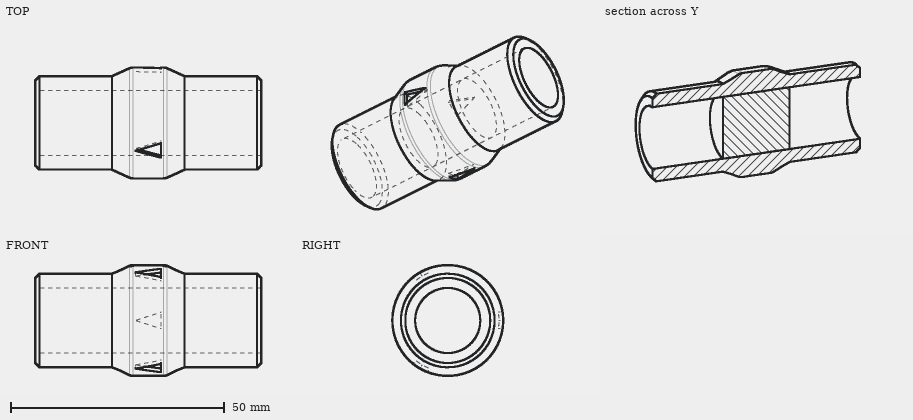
import cadquery as cq

LENGTH = 53.0
TUBE_RADIUS = 10.95
COLLAR_DIAMETER = 26.0
COLLAR_RADIUS = COLLAR_DIAMETER / 2
BORE_RADIUS = 7.65
END_CHAMFER = 1.0

COLLAR_CENTRE = LENGTH / 2
COLLAR_HALF_LENGTH = 8.55
SHOULDER_ROUND = 2.1

BAND_HALF_LENGTH = 4.05

ARROW_COUNT = 3
ARROW_LENGTH = 6.0
ARROW_WIDTH = 3.85
ARROW_DEPTH = 1.0
ARROW_TIP_X = 23.5
FIRST_ARROW_ANGLE = 30.0


def make_collar():
    """Solid collar with tapered flanks and rounded shoulders."""
    profile = [
        (COLLAR_CENTRE - COLLAR_HALF_LENGTH, 0),
        (COLLAR_CENTRE - COLLAR_HALF_LENGTH, TUBE_RADIUS),
        (COLLAR_CENTRE - BAND_HALF_LENGTH, COLLAR_RADIUS),
        (COLLAR_CENTRE + BAND_HALF_LENGTH, COLLAR_RADIUS),
        (COLLAR_CENTRE + COLLAR_HALF_LENGTH, TUBE_RADIUS),
        (COLLAR_CENTRE + COLLAR_HALF_LENGTH, 0),
    ]
    collar = cq.Workplane("XY").polyline(profile).close().revolve(360, (0, 0, 0), (1, 0, 0))
    shoulders = cq.selectors.RadiusNthSelector(-1)
    return collar.edges("%CIRCLE").edges(shoulders).fillet(SHOULDER_ROUND)


def make_arrow_cutter(angle):
    """Triangular prism that sinks one arrow, with a floor concentric to the collar."""
    base_x = ARROW_TIP_X + ARROW_LENGTH
    prism = (
        cq.Workplane("XY")
        .polyline([(ARROW_TIP_X, 0), (base_x, -ARROW_WIDTH / 2), (base_x, ARROW_WIDTH / 2)])
        .close()
        .extrude(2 * COLLAR_RADIUS)
    )
    floor = cq.Workplane("YZ").circle(COLLAR_RADIUS - ARROW_DEPTH).extrude(LENGTH)
    cutter = prism.cut(floor)
    return cutter.rotate((0, 0, 0), (1, 0, 0), angle)


def make_housing():
    """Tube with chamfered ends, a thick collar, a through bore and arrows."""
    tube = cq.Workplane("YZ").circle(TUBE_RADIUS).extrude(LENGTH)
    tube = tube.faces("<X or >X").edges().chamfer(END_CHAMFER)
    bore = cq.Workplane("YZ").circle(BORE_RADIUS).extrude(LENGTH)
    body = tube.union(make_collar()).cut(bore)
    for index in range(ARROW_COUNT):
        angle = FIRST_ARROW_ANGLE + index * 360 / ARROW_COUNT
        body = body.cut(make_arrow_cutter(angle))
    return body


def make_core():
    """Plain cylinder that closes the bore over the length of the collar."""
    core = cq.Workplane("YZ").circle(BORE_RADIUS).extrude(2 * COLLAR_HALF_LENGTH)
    return core.translate((COLLAR_CENTRE - COLLAR_HALF_LENGTH, 0, 0))


housing = make_housing()
core = make_core()

result = cq.Compound.makeCompound([housing.val(), core.val()])